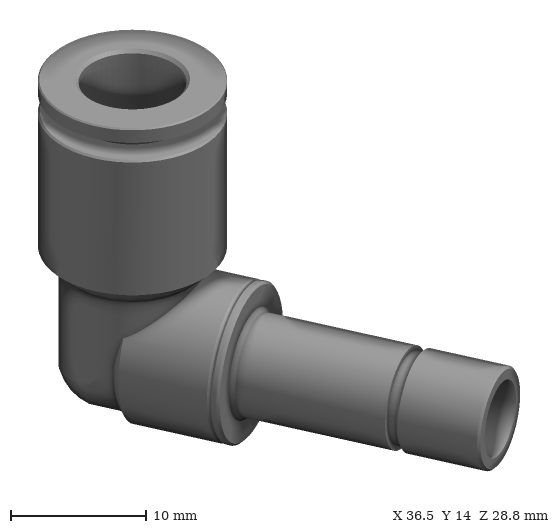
import cadquery as cq
import math

neck_radius = 11.0 / 2
corner_pivot = 1.28
corner_tilt = 15

socket_radius = 14.0 / 2
socket_top = 19.75
socket_bottom = 8.03
socket_edge = 0.15
taper_height = socket_radius - neck_radius
ring_top = 22.52
ring_thickness = 1.2
ring_edge = 0.1
ring_neck_radius = 9.4 / 2

collar_radius = 12.5 / 2
collar_start = 0.73
collar_end = 9.53
collar_chamfer = collar_radius - neck_radius
collar_groove_start = 8.58
collar_groove_width = 0.4
collar_groove_depth = 0.15
collar_edge = 0.2

stem_radius = 8.0 / 2
stem_end = 36.5 - socket_radius
stem_edge = 0.2
root_flare = 0.33
root_length = 0.4
stem_groove_start = 21.95
stem_groove_end = 22.75
stem_groove_radius = 7.2 / 2
groove_chamfer = 0.22

tube_radius = 8.0 / 2
tube_floor = socket_bottom
mouth_chamfer = 0.25
flow_radius = 6.0 / 2


def elbow_leg():
    """Upright round leg, ending at the bend plane and the tilted seam plane."""
    seam_drop = (neck_radius - corner_pivot) * math.tan(math.radians(corner_tilt))
    seam_edge = -corner_pivot - seam_drop
    region = (
        cq.Workplane("XZ")
        .polyline([
            (-neck_radius, socket_bottom),
            (neck_radius, socket_bottom),
            (neck_radius, neck_radius),
            (-corner_pivot, -corner_pivot),
            (-neck_radius, seam_edge),
        ])
        .close()
        .extrude(neck_radius, both=True)
    )
    leg = cq.Workplane("XY").workplane(offset=-neck_radius)
    leg = leg.circle(neck_radius).extrude(socket_bottom + neck_radius)
    return leg.intersect(region)


def corner():
    """Seam section of the leg swept about the pivot line from one seam to the other."""
    tilt = math.radians(corner_tilt)
    outward = (-math.cos(tilt), 0, -math.sin(tilt))
    normal = (math.sin(tilt), 0, -math.cos(tilt))
    pivot = (-corner_pivot, 0, -corner_pivot)
    half_length = neck_radius / math.cos(tilt)
    center_offset = corner_pivot / math.cos(tilt)
    half_angle = math.degrees(math.acos(corner_pivot / neck_radius))
    return (
        cq.Workplane(cq.Plane(pivot, outward, normal))
        .center(-center_offset, 0)
        .ellipseArc(half_length, neck_radius, -half_angle, half_angle, startAtCurrent=False)
        .close()
        .revolve(90 - 2 * corner_tilt, (center_offset, 0), (center_offset, -1))
    )


def socket():
    ring_bottom = ring_top - ring_thickness
    body = (
        cq.Workplane("XY").workplane(offset=socket_bottom)
        .circle(socket_radius).extrude(socket_top - socket_bottom)
        .faces(">Z").chamfer(socket_edge)
    )
    taper = (
        cq.Workplane("XZ")
        .polyline([
            (0, socket_bottom - taper_height),
            (neck_radius, socket_bottom - taper_height),
            (socket_radius, socket_bottom),
            (0, socket_bottom),
        ])
        .close()
        .revolve()
    )
    ring_neck = (
        cq.Workplane("XY").workplane(offset=socket_top)
        .circle(ring_neck_radius).extrude(ring_bottom - socket_top)
    )
    ring = (
        cq.Workplane("XY").workplane(offset=ring_bottom)
        .circle(socket_radius).extrude(ring_thickness)
        .faces(">Z").chamfer(ring_edge)
    )
    return taper.union(body).union(ring_neck).union(ring)


def collar_and_stem():
    """Turned profile about the X axis, from the collar to the stem tip."""
    groove_floor = collar_radius - collar_groove_depth
    groove_end = collar_groove_start + collar_groove_width
    return (
        cq.Workplane("XZ")
        .polyline([
            (collar_start, 0),
            (collar_start, neck_radius),
            (collar_start + collar_chamfer, collar_radius),
            (collar_groove_start, collar_radius),
            (collar_groove_start + collar_groove_width / 2, groove_floor),
            (groove_end, collar_radius),
            (collar_end - collar_edge, collar_radius),
            (collar_end, collar_radius - collar_edge),
            (collar_end, stem_radius + root_flare),
            (collar_end + root_length, stem_radius),
            (stem_groove_start, stem_radius),
            (stem_groove_start, stem_groove_radius),
            (stem_groove_end, stem_groove_radius),
            (stem_groove_end, stem_radius - groove_chamfer),
            (stem_groove_end + groove_chamfer, stem_radius),
            (stem_end - stem_edge, stem_radius),
            (stem_end, stem_radius - stem_edge),
            (stem_end, 0),
        ])
        .close()
        .revolve(360, (0, 0), (1, 0))
    )


def passages():
    """Tube bore and flow passage with a ball-shaped inside corner."""
    tube = (
        cq.Workplane("XZ")
        .polyline([
            (0, tube_floor),
            (tube_radius, tube_floor),
            (tube_radius, ring_top - mouth_chamfer),
            (tube_radius + mouth_chamfer, ring_top),
            (0, ring_top),
        ])
        .close()
        .revolve()
    )
    upright = cq.Workplane("XY").circle(flow_radius).extrude(tube_floor)
    sideways = cq.Workplane("YZ").circle(flow_radius).extrude(stem_end)
    ball = cq.Workplane("XY").sphere(flow_radius)
    return tube.union(upright).union(sideways).union(ball)


upright_leg = elbow_leg()
sideways_leg = upright_leg.rotate((0, 0, 0), (1, 0, 1), 180)

elbow = upright_leg.union(sideways_leg).union(corner())
result = elbow.union(collar_and_stem()).union(socket()).cut(passages())